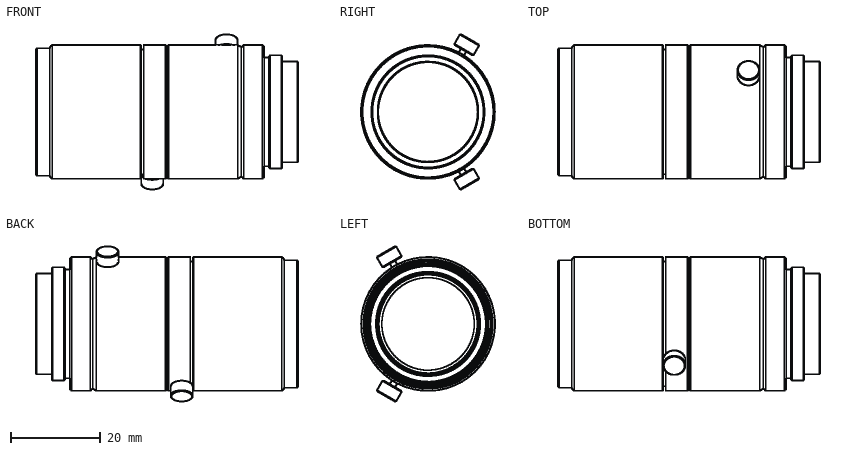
import cadquery as cq
import math


LENGTH = 58.6
BODY_RADIUS = 15.0
FINE_CHAMFER = 0.2

RIM_RADIUS = 14.3
RIM_CHAMFER = 0.3
RIM_END = 3.1

GRIP_CHAMFER = 0.5
GRIP_END = 23.55

FIRST_GROOVE_RADIUS = 14.0
FIRST_RING_START = 24.1
FIRST_RING_END = 29.1

SECOND_GROOVE_RADIUS = 14.5
SLEEVE_START = 29.5
SLEEVE_TAPER_START = 45.1
SLEEVE_END = 45.95
SLEEVE_END_RADIUS = 14.5

REAR_RING_FRONT_CHAMFER = BODY_RADIUS - SLEEVE_END_RADIUS
REAR_RING_END = 51.0
REAR_RING_BACK_CHAMFER = 0.4

NECK_RADIUS = 12.2
FLANGE_START = 52.1
FLANGE_END = 55.1
FLANGE_RADIUS = 12.7
FLANGE_CHAMFER = 0.3
SPIGOT_RADIUS = 11.3

BORE_RADIUS = 13.45
BORE_DEPTH = 2.0
TAPER_END_RADIUS = 13.35
CONE_START = 2.95
CONE_START_RADIUS = 13.2
CONE_END = 3.65
CONE_END_RADIUS = 12.9
SEAT_DEPTH = 3.85
SEAT_RADIUS = 11.7
RETAINER_CHAMFER = 0.25
RETAINER_RADIUS = 11.0
RETAINER_CONE_START = 5.4
GLASS_EDGE = 6.3
GLASS_RADIUS = 10.35
GLASS_CURVATURE = 40.0

SCREW_TILT = 30.0
SCREW_TOP = 18.74
SCREW_HEAD_DIAMETER = 5.0
SCREW_HEAD_HEIGHT = 2.8
SCREW_HEAD_CHAMFER = 0.2
SCREW_STEM_DIAMETER = 1.4
SCREW_STEM_ROOT = 13.0
UPPER_SCREW_X = 42.6
LOWER_SCREW_X = 26.0


def chamfered_step(start, end, radius, start_chamfer, end_chamfer):
    """Profile points of one cylinder with a 45 degree chamfer at each end."""
    return [
        (start, radius - start_chamfer),
        (start + start_chamfer, radius),
        (end - end_chamfer, radius),
        (end, radius - end_chamfer),
    ]


def plain_step(start, end, radius):
    """Profile points of one cylinder with sharp ends."""
    return [(start, radius), (end, radius)]


def outer_profile():
    """Outside of the barrel from the front rim to the rear face."""
    points = chamfered_step(0, RIM_END, RIM_RADIUS, RIM_CHAMFER, 0)[:-1]
    points += chamfered_step(RIM_END, GRIP_END, BODY_RADIUS, GRIP_CHAMFER, FINE_CHAMFER)
    points += plain_step(GRIP_END, FIRST_RING_START, FIRST_GROOVE_RADIUS)
    points += chamfered_step(FIRST_RING_START, FIRST_RING_END, BODY_RADIUS, 0, FINE_CHAMFER)[1:]
    points += plain_step(FIRST_RING_END, SLEEVE_START, SECOND_GROOVE_RADIUS)
    points += [
        (SLEEVE_START, BODY_RADIUS - FINE_CHAMFER),
        (SLEEVE_START + FINE_CHAMFER, BODY_RADIUS),
        (SLEEVE_TAPER_START, BODY_RADIUS),
    ]
    points += chamfered_step(
        SLEEVE_END, REAR_RING_END, BODY_RADIUS, REAR_RING_FRONT_CHAMFER, REAR_RING_BACK_CHAMFER
    )
    points += plain_step(REAR_RING_END, FLANGE_START, NECK_RADIUS)
    points += chamfered_step(FLANGE_START, FLANGE_END, FLANGE_RADIUS, FLANGE_CHAMFER, FLANGE_CHAMFER)
    points += [
        (FLANGE_END, SPIGOT_RADIUS),
        (LENGTH - FINE_CHAMFER, SPIGOT_RADIUS),
        (LENGTH, SPIGOT_RADIUS - FINE_CHAMFER),
    ]
    return points


def bore_profile():
    """Steps of the front bore, from the glass edge out to the mouth."""
    shoulder = SEAT_DEPTH + RETAINER_CHAMFER
    return [
        (RETAINER_CONE_START, RETAINER_RADIUS),
        (shoulder + RETAINER_CHAMFER, RETAINER_RADIUS),
        (shoulder, RETAINER_RADIUS + RETAINER_CHAMFER),
        (shoulder, SEAT_RADIUS - RETAINER_CHAMFER),
        (SEAT_DEPTH, SEAT_RADIUS),
        (SEAT_DEPTH, CONE_END_RADIUS),
        (CONE_END, CONE_END_RADIUS),
        (CONE_START, CONE_START_RADIUS),
        (CONE_START, TAPER_END_RADIUS),
        (BORE_DEPTH, BORE_RADIUS),
        (FINE_CHAMFER, BORE_RADIUS),
        (0, BORE_RADIUS + FINE_CHAMFER),
    ]


def barrel():
    """Barrel and convex front glass, revolved as one solid about X."""
    center_x = GLASS_EDGE + math.sqrt(GLASS_CURVATURE**2 - GLASS_RADIUS**2)
    glass_apex = center_x - GLASS_CURVATURE
    mid_radius = GLASS_RADIUS / 2
    mid_x = center_x - math.sqrt(GLASS_CURVATURE**2 - mid_radius**2)
    profile = (
        cq.Workplane("XY")
        .moveTo(LENGTH, 0)
        .lineTo(glass_apex, 0)
        .threePointArc((mid_x, mid_radius), (GLASS_EDGE, GLASS_RADIUS))
    )
    for point in bore_profile() + outer_profile():
        profile = profile.lineTo(*point)
    return profile.close().revolve(360, (0, 0, 0), (1, 0, 0))


def thumb_screw(x, tilt):
    """Radial screw at x, tilted from +Z toward +Y by tilt degrees."""
    head = (
        cq.Workplane("XY")
        .workplane(offset=SCREW_TOP - SCREW_HEAD_HEIGHT)
        .circle(SCREW_HEAD_DIAMETER / 2)
        .extrude(SCREW_HEAD_HEIGHT)
        .faces("<Z or >Z")
        .chamfer(SCREW_HEAD_CHAMFER)
    )
    stem = (
        cq.Workplane("XY")
        .workplane(offset=SCREW_STEM_ROOT)
        .circle(SCREW_STEM_DIAMETER / 2)
        .extrude(SCREW_TOP - SCREW_HEAD_HEIGHT / 2 - SCREW_STEM_ROOT)
    )
    screw = head.union(stem)
    return screw.rotate((0, 0, 0), (1, 0, 0), -tilt).translate((x, 0, 0))


result = (
    barrel()
    .union(thumb_screw(UPPER_SCREW_X, SCREW_TILT))
    .union(thumb_screw(LOWER_SCREW_X, 180 - SCREW_TILT))
)